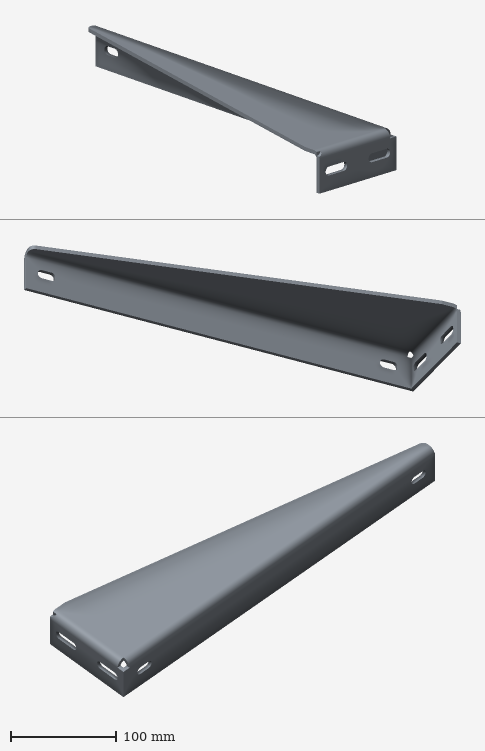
import cadquery as cq

LENGTH = 415.0
WIDTH = 100.0
HEIGHT = 42.0

THICKNESS = 4.0
INNER_RADIUS = 4.0
OUTER_RADIUS = INNER_RADIUS + THICKNESS

TIP_WIDTH = 15.0
FLAT_FRONT_LENGTH = 20.0
PLATE_CORNER_RADIUS = 6.0

SCALLOP_RADIUS = 5.0

SLOT_HEIGHT = 9.0
SLOT_DROP = 22.0
BACK_SLOT_LENGTH = 19.0
BACK_SLOT_CENTERS = (22.0, 387.0)
END_SLOT_LENGTH = 28.0
END_SLOT_DISTANCES = (22.0, 78.0)



def top_plate():
    """Flat tapered web, stopping where the two bends begin."""
    outline = [
        (0, -OUTER_RADIUS),
        (0, -TIP_WIDTH),
        (LENGTH - FLAT_FRONT_LENGTH, -WIDTH),
        (LENGTH - OUTER_RADIUS, -WIDTH),
        (LENGTH - OUTER_RADIUS, -OUTER_RADIUS),
    ]
    plate = cq.Workplane("XY").polyline(outline).close().extrude(-THICKNESS)
    tip_corner = cq.selectors.NearestToPointSelector((0, -TIP_WIDTH, -THICKNESS / 2))
    taper_corner = cq.selectors.NearestToPointSelector((LENGTH - FLAT_FRONT_LENGTH, -WIDTH, -THICKNESS / 2))
    return plate.edges(tip_corner + taper_corner).fillet(PLATE_CORNER_RADIUS)


def bend(plane, length):
    """Quarter-ring bend extruded along the plane normal; local +X points to the outer face, +Y up."""
    return (
        cq.Workplane(plane)
        .moveTo(-OUTER_RADIUS, 0)
        .radiusArc((0, -OUTER_RADIUS), OUTER_RADIUS)
        .lineTo(-THICKNESS, -OUTER_RADIUS)
        .radiusArc((-OUTER_RADIUS, -THICKNESS), -INNER_RADIUS)
        .close()
        .extrude(length)
    )


def back_flange():
    """Slotted flange hanging from the back bend over the full length."""
    drop = HEIGHT - OUTER_RADIUS
    blank = cq.Workplane("XY").box(LENGTH, THICKNESS, drop, centered=False).translate((0, -THICKNESS, -HEIGHT))
    slots = (
        cq.Workplane("XZ")
        .pushPoints([(x, -SLOT_DROP) for x in BACK_SLOT_CENTERS])
        .slot2D(BACK_SLOT_LENGTH, SLOT_HEIGHT)
        .extrude(THICKNESS)
    )
    return blank.cut(slots)


def end_flange():
    """Slotted flange hanging from the end bend over the full width."""
    drop = HEIGHT - OUTER_RADIUS
    blank = cq.Workplane("XY").box(THICKNESS, WIDTH, drop, centered=False)
    blank = blank.translate((LENGTH - THICKNESS, -WIDTH, -HEIGHT))
    slots = (
        cq.Workplane("YZ", origin=(LENGTH, 0, 0))
        .pushPoints([(-distance, -SLOT_DROP) for distance in END_SLOT_DISTANCES])
        .slot2D(END_SLOT_LENGTH, SLOT_HEIGHT)
        .extrude(-THICKNESS)
    )
    return blank.cut(slots)


def front_corner_scallop():
    """Round cutter along X that scallops the front upper corner of the end flange's sheet thickness."""
    plane = cq.Workplane("YZ", origin=(LENGTH - THICKNESS, -WIDTH, 0))
    return plane.circle(SCALLOP_RADIUS).extrude(THICKNESS)


back_bend_plane = cq.Plane(origin=(0, 0, 0), xDir=(0, 1, 0), normal=(1, 0, 0))
end_bend_plane = cq.Plane(origin=(LENGTH, -OUTER_RADIUS, 0), xDir=(1, 0, 0), normal=(0, -1, 0))
back_bend = bend(back_bend_plane, LENGTH - OUTER_RADIUS)
end_bend = bend(end_bend_plane, WIDTH - OUTER_RADIUS)

bracket = top_plate().union(back_bend).union(end_bend).union(back_flange()).union(end_flange())
result = bracket.cut(front_corner_scallop())